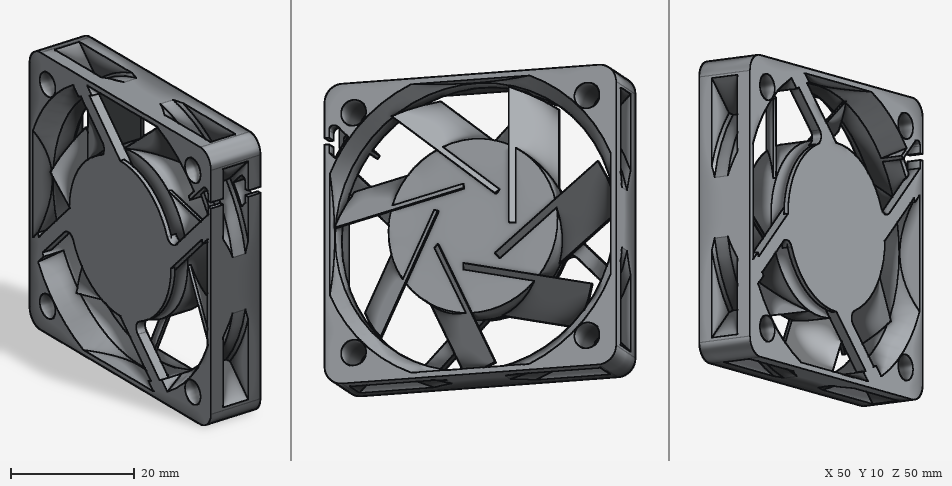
import cadquery as cq
import math


side = 50.0
depth = 10.0
corner_radius = 3.0
hole_pitch = 40.0
hole_diameter = 4.3

bore_radius = 24.0
flare_radius = 26.1
flare_depth = 4.0
back_flare_depth = 2.5
side_wall = 0.95
inner_half = side / 2 - side_wall

plate_thickness = 2.5
duct_wall = 1.5
corner_web = 4.95

hub_radius = 14.0
hub_thickness = 0.8
spoke_count = 4
spoke_thickness = 1.8
spoke_inner_edge = 7.45
spoke_width = 2.45
spoke_fillet = 1.5
spoke_overlap = 0.5
spoke_angle = 45
foot_margin = 0.65

channel_width = 4.0
channel_side_wall = 0.8
channel_fillet = 0.8
channel_duct_radius = 26.4
channel_depth = 1.5
cable_slit_bottom = 15.05
cable_slit_width = 1.1

rotor_radius = 14.5
rotor_front = 3.0
rotor_back = 8.6
shaft_radius = 5.0
blade_count = 7
blade_tip_radius = 23.5
blade_back = 9.45
blade_front_offset = 13.0
blade_back_offset = 6.4
blade_thickness = 0.6

spoke_outer_edge = spoke_inner_edge + spoke_width
far = side


def slab(front, back):
    """Sketch plane parallel to the front face, and the extrusion length to reach the back."""
    return cq.Workplane("XZ", origin=(0, front, 0)), -(back - front)


def disc(radius, front, back):
    plane, length = slab(front, back)
    return plane.circle(radius).extrude(length)


def block(x_min, x_max, z_min, z_max, front, back):
    plane, length = slab(front, back)
    outline = plane.center((x_min + x_max) / 2, (z_min + z_max) / 2).rect(x_max - x_min, z_max - z_min)
    return outline.extrude(length)


def turn(body, angle):
    """Rotate about the fan axis, anticlockwise seen from the front."""
    return body.rotate((0, 0, 0), (0, -1, 0), angle)


def spoke_turn(index):
    return spoke_angle + index * 360 / spoke_count


def revolved(profile):
    """Turn a profile of (radius, y) points about the fan axis."""
    return cq.Workplane("XY").polyline(profile).close().revolve(360, (0, 0, 0), (0, 1, 0))


def duct_outside():
    """Solid bounded by the outer surface of the duct wall, parallel to the bore and its flares."""
    flare_height = flare_radius - bore_radius
    front_angle = math.atan2(flare_height, flare_depth)
    back_angle = math.atan2(flare_height, back_flare_depth)
    straight = bore_radius + duct_wall
    profile = [
        (0, 0),
        (flare_radius + duct_wall / math.cos(front_angle), 0),
        (straight, flare_depth + duct_wall * math.tan(front_angle / 2)),
        (straight, depth - back_flare_depth - duct_wall * math.tan(back_angle / 2)),
        (flare_radius + duct_wall / math.cos(back_angle), depth),
        (0, depth),
    ]
    return revolved(profile)


def spoke_foot(index):
    """Stretch of the front flare left solid at a spoke end, wider than the spoke."""
    bottom = -spoke_outer_edge - foot_margin
    top = -spoke_inner_edge + foot_margin
    foot = block(0, far, bottom, top, 0, flare_depth)
    if index == 0:
        channel_top = -spoke_inner_edge + channel_width
        foot = block(0, far, bottom, -spoke_inner_edge, 0, spoke_thickness)
        foot = foot.union(block(0, far, channel_top, channel_top + foot_margin, 0, flare_depth))
    return turn(foot, spoke_turn(index))


def front_flare():
    flare = revolved([(0, 0), (flare_radius, 0), (bore_radius, flare_depth), (0, flare_depth)])
    for i in range(spoke_count):
        flare = flare.cut(spoke_foot(i))
    return flare


def back_flare():
    start = depth - back_flare_depth
    return revolved([(0, start), (bore_radius, start), (flare_radius, depth), (0, depth)])


def make_frame():
    body = block(-side / 2, side / 2, -side / 2, side / 2, 0, depth)
    body = body.edges("|Y").fillet(corner_radius)
    square_core = block(-inner_half, inner_half, -inner_half, inner_half, 0, depth)
    body = body.cut(disc(bore_radius, 0, depth))
    body = body.cut(front_flare().intersect(square_core))
    body = body.cut(back_flare().intersect(square_core))

    pockets = block(-far, far, -far, far, plate_thickness, depth - plate_thickness)
    pockets = pockets.cut(duct_outside())
    web = block(-far, far, -corner_web / 2, corner_web / 2, 0, depth)
    for angle in (45, 135):
        pockets = pockets.cut(turn(web, angle))
    body = body.cut(pockets)

    plane, length = slab(0, depth)
    holes = plane.rect(hole_pitch, hole_pitch, forConstruction=True).vertices()
    return body.cut(holes.circle(hole_diameter / 2).extrude(length))


def make_spoke():
    """One spoke along +X below the axis, reaching just into the frame."""
    spoke = block(0, far, -spoke_outer_edge, -spoke_inner_edge, 0, spoke_thickness)
    spoke = spoke.intersect(disc(bore_radius + spoke_overlap, 0, depth))

    centre_z = -spoke_inner_edge + spoke_fillet
    centre_distance = hub_radius + spoke_fillet
    centre_x = math.sqrt(centre_distance**2 - centre_z**2)
    rim_scale = hub_radius / centre_distance
    plane, length = slab(0, spoke_thickness)
    corner = (
        plane.moveTo(centre_x, -spoke_inner_edge)
        .lineTo(centre_x * rim_scale - spoke_fillet, -spoke_inner_edge)
        .lineTo(centre_x * rim_scale, centre_z * rim_scale)
        .lineTo(centre_x, centre_z)
        .close()
        .extrude(length)
    )
    round_cutter = plane.center(centre_x, centre_z).circle(spoke_fillet).extrude(length)
    return spoke.union(corner.cut(round_cutter))


def make_stator():
    body = disc(hub_radius, 0, hub_thickness)
    for i in range(spoke_count):
        body = body.union(turn(make_spoke(), spoke_turn(i)))
    return body


def cable_channel():
    """Clearance for the cable: a strip along the spoke and a slit out to the side."""
    channel_end = side / 2 - channel_side_wall
    strip = block(0, far, -spoke_inner_edge, -spoke_inner_edge + channel_width, 0, depth)
    channel = turn(strip, spoke_angle).intersect(block(0, channel_end, 0, channel_end, 0, depth))
    channel = channel.edges("|Y and >X").edges(">Z").fillet(channel_fillet)
    slit = block(
        channel_end, side / 2, cable_slit_bottom, cable_slit_bottom + cable_slit_width, 0, depth
    )
    return channel.union(slit)


def make_rotor():
    """Rotor drum with slanted flat blades, joined to the hub plate by a shaft."""
    body = disc(rotor_radius, rotor_front, rotor_back)
    blade_profile = [
        (-blade_front_offset, rotor_front),
        (-blade_back_offset, blade_back - blade_thickness),
        (-blade_back_offset, blade_back),
        (-blade_front_offset, rotor_front + blade_thickness),
    ]
    blade = cq.Workplane("XY").polyline(blade_profile).close().extrude(blade_tip_radius)
    blade = blade.intersect(disc(blade_tip_radius, 0, depth)).cut(disc(shaft_radius, 0, depth))
    for i in range(blade_count):
        body = body.union(turn(blade, i * 360 / blade_count))
    return body.union(disc(shaft_radius, 0, rotor_front))


duct_ring = disc(channel_duct_radius, channel_depth, depth)
frame = make_frame().cut(cable_channel().cut(duct_ring))
result = frame.union(make_stator()).union(make_rotor())